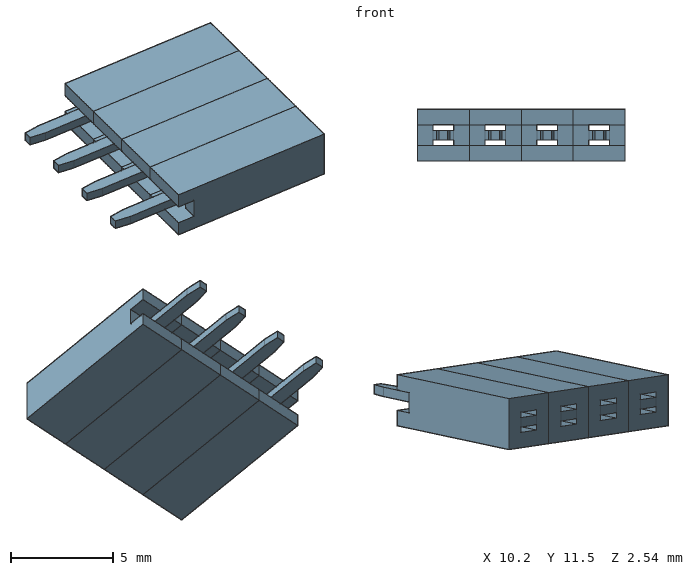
import cadquery as cq

position_count = 4
row_length = 10.15
pitch = row_length / position_count
total_length = 11.5
housing_length = 8.5

cavity_size = 1.0
groove_depth = 0.9

contact_thickness = 0.47
pin_width = 0.64
tip_width = 0.43
tip_length = 0.83

housing_front = total_length - housing_length
groove_floor = housing_front + groove_depth


def make_bar(width, length, height):
    """Bar centred on X and Z that starts at the pin end of the housing and runs toward +Y."""
    bar = cq.Workplane("XY").box(width, length, height, centered=(True, False, True))
    return bar.translate((0, housing_front, 0))


def make_housing():
    """Square block with a through cavity, and a groove across its pin end."""
    block = make_bar(pitch, housing_length, pitch)
    cavity = make_bar(cavity_size, housing_length, cavity_size)
    groove = make_bar(pitch, groove_depth, cavity_size)
    return block.cut(cavity).cut(groove)


def make_contact():
    """Flat plate: a blade as wide as the cavity from the groove floor back, and the pin in front."""
    right_edge = [
        (tip_width / 2, 0),
        (pin_width / 2, tip_length),
        (pin_width / 2, groove_floor),
        (cavity_size / 2, groove_floor),
        (cavity_size / 2, total_length),
    ]
    left_edge = [(-x, y) for x, y in reversed(right_edge)]
    outline = cq.Workplane("XY").polyline(right_edge + left_edge).close()
    return outline.extrude(contact_thickness / 2, both=True)


def make_position(index):
    """One position of the row: housing and contact as a single body."""
    center_x = (index - (position_count - 1) / 2) * pitch
    body = make_housing().union(make_contact(), clean=False)
    return body.translate((center_x, 0, 0))


positions = [make_position(index) for index in range(position_count)]

result = cq.Compound.makeCompound([position.solids().val() for position in positions])